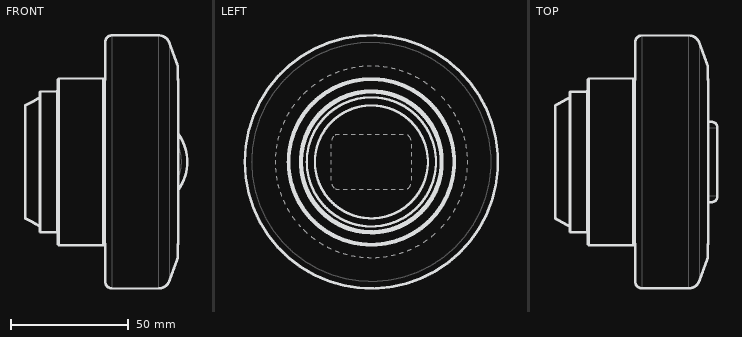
import cadquery as cq
import math

cone_length = 6.2
collar_end = 13.9
sleeve_end = 33.2
wheel_start = 34.0
wheel_end = 64.9
cover_end = 65.3
overall_length = 69.0

tip_radius = 24.0
cone_radius = 27.5
collar_radius = 29.9
bead_radius = 30.4
sleeve_radius = 35.5
wheel_radius = 53.8
cover_radius = 35.0

collar_chamfer = 0.4
bead_width = 0.3
sleeve_chamfer = 0.6
inner_edge_radius = 3.0
outer_edge_radius = 5.0
wheel_cone_angle = math.radians(20)
wheel_cone_length = 3.6

roller_radius = 20.0
roller_length = 34.2
roller_edge_radius = 2.6


def turn(sketch):
    """Close a half profile (X along the axis, Y radial) and revolve it about X."""
    return sketch.close().revolve(360, (0, 0, 0), (1, 0, 0))


def make_spindle():
    """Conical tip, collar with end bead, chamfered sleeve and the neck behind it."""
    neck_radius = sleeve_radius - sleeve_chamfer
    profile = (
        cq.Workplane("XY")
        .polyline([
            (0, 0),
            (0, tip_radius),
            (cone_length, cone_radius),
            (cone_length, collar_radius - collar_chamfer),
            (cone_length + collar_chamfer, collar_radius),
            (collar_end - bead_width, collar_radius),
            (collar_end, bead_radius),
            (collar_end, sleeve_radius - sleeve_chamfer),
            (collar_end + sleeve_chamfer, sleeve_radius),
            (sleeve_end, sleeve_radius),
            (sleeve_end, neck_radius),
            (wheel_start, neck_radius),
            (wheel_start, 0),
        ])
    )
    return turn(profile)


def make_wheel():
    """Wheel with a rounded inner edge and an outer edge blending into a cone."""
    cone_start = wheel_end - wheel_cone_length
    arc_center_x = cone_start - outer_edge_radius * math.cos(wheel_cone_angle)
    arc_center_r = wheel_radius - outer_edge_radius
    cone_start_radius = arc_center_r + outer_edge_radius * math.sin(wheel_cone_angle)
    face_radius = cone_start_radius - wheel_cone_length / math.tan(wheel_cone_angle)

    mid_angle = (math.pi / 2 + wheel_cone_angle) / 2
    arc_mid = (
        arc_center_x + outer_edge_radius * math.cos(mid_angle),
        arc_center_r + outer_edge_radius * math.sin(mid_angle),
    )
    profile = (
        cq.Workplane("XY")
        .moveTo(wheel_start, 0)
        .lineTo(wheel_start, wheel_radius - inner_edge_radius)
        .radiusArc((wheel_start + inner_edge_radius, wheel_radius), inner_edge_radius)
        .lineTo(arc_center_x, wheel_radius)
        .threePointArc(arc_mid, (cone_start, cone_start_radius))
        .lineTo(wheel_end, face_radius)
        .lineTo(wheel_end, 0)
    )
    return turn(profile)


def make_cover():
    """Thin round cover standing just proud of the wheel face."""
    return (
        cq.Workplane("YZ", origin=(wheel_end, 0, 0))
        .circle(cover_radius)
        .extrude(cover_end - wheel_end)
    )


def make_roller():
    """Round-edged side roller, kept only where it stands proud of the wheel face."""
    roller = (
        cq.Workplane("XZ", origin=(overall_length - roller_radius, 0, 0))
        .circle(roller_radius)
        .extrude(roller_length / 2, both=True)
        .edges("%CIRCLE")
        .fillet(roller_edge_radius)
    )
    exposed_zone = cq.Workplane("XY", origin=(wheel_end, 0, 0)).box(
        overall_length, 2 * cover_radius, 2 * cover_radius, centered=(False, True, True)
    )
    return roller.intersect(exposed_zone)


result = make_spindle().union(make_wheel()).union(make_cover()).union(make_roller())